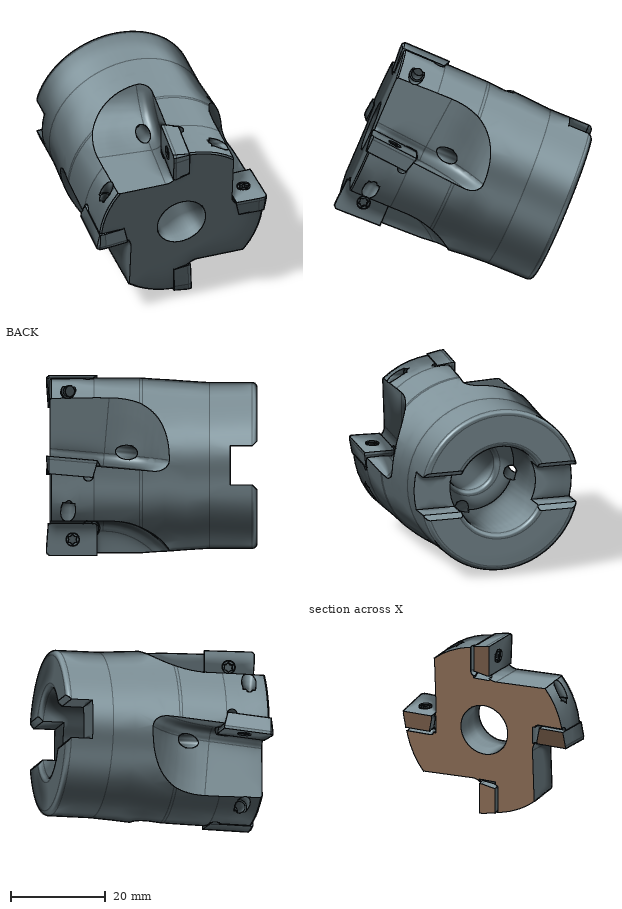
import cadquery as cq
import math


OVERALL_LENGTH = 44.45
BODY_LENGTH = 43.75
SHANK_RADIUS = 17.5
SHANK_LENGTH = 10.05
HEAD_START_X = 24.55
HEAD_RADIUS = 18.5
FLARE_ROUND_LENGTH = 0.62
NOSE_START_X = 34.45
NOSE_END_RADIUS = 18.35
NOSE_CHAMFER = 0.3
REAR_ROUND = 1.02

COUNTERBORE_RADIUS = 9.5
COUNTERBORE_DEPTH = 20.0
BORE_RADIUS = 5.42
SLOT_WIDTH = 8.25
SLOT_DEPTH = 5.6
COOLANT_RADIUS = 1.5
COOLANT_ANGLE = 23.0
COOLANT_OFFSET = 2.25
COOLANT_START_HEIGHT = 8.9
COOLANT_LENGTH = 17.8

STATION_COUNT = 4
TIP_RADIUS = 19.02
TIP_Y = -1.95
AXIAL_TILT = 5.0
MARGIN = 26.65

WALL_DEPTH = 1.0
FLOOR_HEIGHT = 11.25
FLOOR_LEAN = 2.0
FLOOR_LENGTH = 12.05
RUNOUT_RADIUS = 17.55
RUNOUT_SWEEP = math.radians(60)
FLUTE_FILLET = 2.62

INSERT_LENGTH = 10.65
INSERT_WIDTH = 6.75
INSERT_THICKNESS = 3.65
LAND_DEPTH = 0.62
TIP_X = OVERALL_LENGTH - LAND_DEPTH * math.sin(math.radians(AXIAL_TILT))
RELIEF_ANGLE = 11.0
INSERT_CORNER_RADIUS = 0.65
NOSE_CUT_X = 0.55
NOSE_CUT_HEIGHT = 0.5
WIPER_LENGTH = 1.35
END_EDGE_SETBACK = 0.35

EDGE_RELIEF_RADIUS = 1.05
EDGE_RELIEF_SETBACK = 9.1
EDGE_RELIEF_DEPTH = 3.42
EDGE_RELIEF_BOTTOM = 11.7
CORNER_RELIEF_RADIUS = 1.9
CORNER_RELIEF_SETBACK = 9.42
CORNER_RELIEF_HEIGHT = 13.3

SCREW_SETBACK = 5.5
SCREW_HEIGHT = 15.65
SCREW_RADIUS = 1.2
SCREW_END_DEPTH = 4.45
HEAD_RECESS = 0.25
SINK_RADIUS = 1.42
SINK_DEPTH = 0.65
SOCKET_TIP_RADIUS = 1.1
SOCKET_ROOT_RADIUS = 0.8
SOCKET_POINTS = 6
SOCKET_DEPTH = 0.9
EXIT_RADIUS = 1.55
EXIT_START_DEPTH = 9.45


def rake_plane(depth=0.0):
    """Plane parallel to the rake face of the top insert and `depth` behind it.

    Local x runs forward along the edge from the tip, local y is +Z, the normal leaves the rake.
    """
    tilt = math.radians(AXIAL_TILT)
    plane = cq.Plane(
        origin=(TIP_X, TIP_Y, 0),
        xDir=(math.cos(tilt), -math.sin(tilt), 0),
        normal=(-math.sin(tilt), -math.cos(tilt), 0),
    )
    plane.origin = plane.toWorldCoords((0, 0, -depth))
    return plane


def all_stations(shape):
    """Copies of a top-station shape at every station."""
    step = 360 / STATION_COUNT
    return [shape.rotate((0, 0, 0), (1, 0, 0), step * i) for i in range(STATION_COUNT)]


def make_blank():
    """Revolved outside with a flared middle, a rounded rear rim and a chamfered nose."""
    flare_slope = (HEAD_RADIUS - SHANK_RADIUS) / (HEAD_START_X - SHANK_LENGTH)
    half_round = FLARE_ROUND_LENGTH / 2
    blank = (
        cq.Workplane("XY")
        .moveTo(0, 0)
        .lineTo(0, SHANK_RADIUS)
        .lineTo(SHANK_LENGTH, SHANK_RADIUS)
        .lineTo(HEAD_START_X - half_round, HEAD_RADIUS - half_round * flare_slope)
        .tangentArcPoint((HEAD_START_X + half_round, HEAD_RADIUS), relative=False)
        .lineTo(NOSE_START_X, HEAD_RADIUS)
        .lineTo(BODY_LENGTH, NOSE_END_RADIUS)
        .lineTo(BODY_LENGTH, 0)
        .close()
        .revolve(360, (0, 0, 0), (1, 0, 0))
    )
    blank = blank.faces("<X").edges().fillet(REAR_ROUND)
    return blank.faces(">X").edges().chamfer(NOSE_CHAMFER)


def cut_bore(body):
    """Stepped bore whose two rims facing the rear are rounded."""
    round_middle = REAR_ROUND * (1 - math.sqrt(0.5))
    counterbore_rim = COUNTERBORE_RADIUS + REAR_ROUND
    bore_rim = BORE_RADIUS + REAR_ROUND
    void = (
        cq.Workplane("XY")
        .moveTo(0, 0)
        .lineTo(0, counterbore_rim)
        .threePointArc(
            (round_middle, COUNTERBORE_RADIUS + round_middle),
            (REAR_ROUND, COUNTERBORE_RADIUS),
        )
        .lineTo(COUNTERBORE_DEPTH, COUNTERBORE_RADIUS)
        .lineTo(COUNTERBORE_DEPTH, bore_rim)
        .threePointArc(
            (COUNTERBORE_DEPTH + round_middle, BORE_RADIUS + round_middle),
            (COUNTERBORE_DEPTH + REAR_ROUND, BORE_RADIUS),
        )
        .lineTo(BODY_LENGTH, BORE_RADIUS)
        .lineTo(BODY_LENGTH, 0)
        .close()
        .revolve(360, (0, 0, 0), (1, 0, 0))
    )
    return body.cut(void)


def cut_drive_slot(body):
    """Slot across the rear face along Y, with chamfered mouth."""
    half = SLOT_WIDTH / 2
    slot = (
        cq.Workplane("XZ")
        .moveTo(0, half + REAR_ROUND)
        .lineTo(REAR_ROUND, half)
        .lineTo(SLOT_DEPTH, half)
        .lineTo(SLOT_DEPTH, -half)
        .lineTo(REAR_ROUND, -half)
        .lineTo(0, -half - REAR_ROUND)
        .close()
        .extrude(MARGIN, both=True)
    )
    return body.cut(slot)


def make_flute():
    """Chip flute: flat floor, runout arc to the rear and a filleted, leaning wall."""
    arc_mid = RUNOUT_SWEEP / 2

    def runout(angle):
        x = -FLOOR_LENGTH - RUNOUT_RADIUS * math.sin(angle)
        return (x, FLOOR_HEIGHT + RUNOUT_RADIUS * (1 - math.cos(angle)))

    flute = (
        cq.Workplane(rake_plane(WALL_DEPTH))
        .moveTo(MARGIN, FLOOR_HEIGHT)
        .lineTo(-FLOOR_LENGTH, FLOOR_HEIGHT)
        .threePointArc(runout(arc_mid), runout(RUNOUT_SWEEP))
        .lineTo(runout(RUNOUT_SWEEP)[0], 2 * MARGIN)
        .lineTo(MARGIN, 2 * MARGIN)
        .close()
        .extrude(MARGIN)
    )
    floor_plane = rake_plane(WALL_DEPTH)
    corner = floor_plane.toWorldCoords((0, FLOOR_HEIGHT, 0))
    arc_point = floor_plane.toWorldCoords((*runout(arc_mid), 0))
    root = cq.selectors.NearestToPointSelector(corner.toTuple())
    arc = cq.selectors.NearestToPointSelector(arc_point.toTuple())
    flute = flute.edges(root + arc).fillet(FLUTE_FILLET)
    return flute.rotate(corner.toTuple(), (corner - floor_plane.xDir).toTuple(), FLOOR_LEAN)


def make_coolant_hole():
    """Slanted hole from the corner of the counterbore to the flute floor."""
    plane = rake_plane(-COOLANT_OFFSET)
    start = plane.toWorldCoords((COUNTERBORE_DEPTH - TIP_X, COOLANT_START_HEIGHT, 0))
    angle = math.radians(COOLANT_ANGLE)
    direction = plane.xDir * math.cos(angle) + cq.Vector(0, 0, 1) * math.sin(angle)
    start = start - direction * COOLANT_RADIUS
    return cq.Workplane(cq.Solid.makeCylinder(COOLANT_RADIUS, COOLANT_LENGTH, start, direction))


def make_seat_reliefs():
    """Ball-ended radial hole along the back edge of the seat and round clearance at its inner corner."""
    edge_axis = rake_plane(EDGE_RELIEF_DEPTH).toWorldCoords((-EDGE_RELIEF_SETBACK, 0, 0))
    ball_center = (edge_axis.x, edge_axis.y, EDGE_RELIEF_BOTTOM + EDGE_RELIEF_RADIUS)
    ball_end = cq.Workplane("XY", origin=ball_center).sphere(EDGE_RELIEF_RADIUS)
    edge_relief = (
        cq.Workplane("XY", origin=ball_center)
        .circle(EDGE_RELIEF_RADIUS)
        .extrude(MARGIN)
        .union(ball_end)
    )
    corner_relief = (
        cq.Workplane(rake_plane(INSERT_THICKNESS))
        .center(-CORNER_RELIEF_SETBACK, CORNER_RELIEF_HEIGHT)
        .circle(CORNER_RELIEF_RADIUS)
        .extrude(INSERT_THICKNESS)
    )
    return edge_relief.union(corner_relief)


def screw_cylinder(radius, start_depth, end_depth):
    """Cylinder on the screw axis between two depths behind the rake face."""
    return (
        cq.Workplane(rake_plane(start_depth))
        .center(-SCREW_SETBACK, SCREW_HEIGHT)
        .circle(radius)
        .extrude(start_depth - end_depth)
    )


def make_screw_blank():
    """Tapered head and plain shank, reaching up to the rake face."""
    head = (
        cq.Workplane(rake_plane(SINK_DEPTH))
        .center(-SCREW_SETBACK, SCREW_HEIGHT)
        .circle(SCREW_RADIUS)
        .workplane(offset=SINK_DEPTH)
        .circle(SINK_RADIUS)
        .loft()
    )
    return head.union(screw_cylinder(SCREW_RADIUS, SINK_DEPTH, SCREW_END_DEPTH))


def make_screw():
    """Countersunk screw with a sunk top and a star socket."""
    points = []
    for i in range(2 * SOCKET_POINTS):
        radius = SOCKET_ROOT_RADIUS if i % 2 else SOCKET_TIP_RADIUS
        angle = math.pi / 2 + i * math.pi / SOCKET_POINTS
        points.append((radius * math.cos(angle), radius * math.sin(angle)))
    socket = (
        cq.Workplane(rake_plane(HEAD_RECESS))
        .center(-SCREW_SETBACK, SCREW_HEIGHT)
        .polyline(points)
        .close()
        .extrude(-SOCKET_DEPTH)
    )
    recess = screw_cylinder(SINK_RADIUS, 0, HEAD_RECESS)
    return make_screw_blank().cut(recess).cut(socket)


def make_insert_blank():
    """Indexable insert without its screw hole: straight land, then relieved flanks."""
    inner = TIP_RADIUS - INSERT_WIDTH
    wiper_top = TIP_RADIUS - NOSE_CUT_HEIGHT
    wiper_end = wiper_top - WIPER_LENGTH
    outline = (
        cq.Sketch()
        .polygon(
            [
                (-INSERT_LENGTH, TIP_RADIUS),
                (-NOSE_CUT_X, TIP_RADIUS),
                (0, wiper_top),
                (0, wiper_end),
                (-END_EDGE_SETBACK, inner),
                (-INSERT_LENGTH, inner),
                (-INSERT_LENGTH, TIP_RADIUS),
            ]
        )
        .reset()
        .vertices("<X and <Y")
        .fillet(INSERT_CORNER_RADIUS)
    )
    relief_depth = INSERT_THICKNESS - LAND_DEPTH
    land = cq.Workplane(rake_plane()).placeSketch(outline).extrude(-LAND_DEPTH)
    flanks = (
        cq.Workplane(rake_plane(LAND_DEPTH))
        .placeSketch(outline)
        .extrude(-relief_depth, taper=RELIEF_ANGLE)
    )
    return land.union(flanks)


def make_body():
    body = cut_drive_slot(cut_bore(make_blank()))
    station_cuts = [
        make_flute(),
        make_insert_blank(),
        make_seat_reliefs(),
        make_coolant_hole(),
        screw_cylinder(SCREW_RADIUS, 0, MARGIN),
        screw_cylinder(EXIT_RADIUS, EXIT_START_DEPTH, MARGIN),
    ]
    for station_cut in station_cuts:
        for cutter in all_stations(station_cut):
            body = body.cut(cutter)
    return body


body = make_body()
insert = make_insert_blank().cut(make_screw_blank())
inserts = all_stations(insert)
screws = all_stations(make_screw())

solids = [part.solids().val() for part in [body, *inserts, *screws]]

result = cq.Compound.makeCompound(solids)